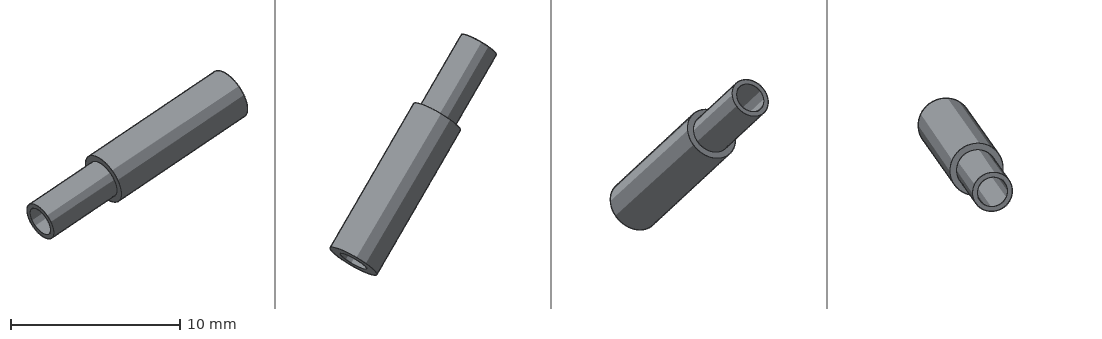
import cadquery as cq

total_length = 15.0
spigot_length = total_length / 3
body_diameter = 3.2
spigot_diameter = 2.4
bore_diameter = 1.8

front_y = -total_length / 2
shoulder_y = front_y + spigot_length


def cylinder_along_y(diameter, start_y, length):
    """Solid cylinder on the Y axis, running from start_y towards +Y."""
    axis = cq.Vector(0, 1, 0)
    base = cq.Vector(0, start_y, 0)
    return cq.Workplane(obj=cq.Solid.makeCylinder(diameter / 2, length, base, axis))


spigot = cylinder_along_y(spigot_diameter, front_y, spigot_length)
body = cylinder_along_y(body_diameter, shoulder_y, total_length - spigot_length)
bore = cylinder_along_y(bore_diameter, front_y, total_length)

result = spigot.union(body).cut(bore)